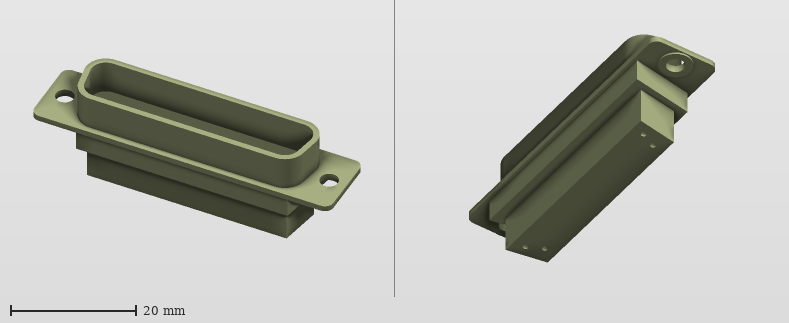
import cadquery as cq
import math

shell_height = 6.0
flange_thickness = 1.0
collar_height = 4.0
tail_height = 6.6

flange_length = 53.2
flange_width = 12.5
flange_corner_radius = 1.5
mount_hole_diameter = 3.15
mount_hole_x = 23.5
pad_diameter = 5.7
pad_thickness = 0.3

side_angle = 10.0
shell_width = 42.55
shell_depth = 10.45
shell_corner_radius = 3.55
shell_wall = 1.0
collar_width = 41.55
collar_depth = 11.1
tail_width = 38.05
tail_depth = 7.3

contact_diameter = 1.0
contact_row_y = 1.4
wide_row_x = 16.6
narrow_row_x = 15.2

flange_bottom = -flange_thickness
collar_bottom = flange_bottom - collar_height
tail_bottom = collar_bottom - tail_height


def tapered_block(width, depth, bottom, height):
    """Prism whose outline narrows from width at +Y by the side angle."""
    wide = width / 2
    narrow = wide - depth * math.tan(math.radians(side_angle))
    outline = [
        (-wide, depth / 2),
        (wide, depth / 2),
        (narrow, -depth / 2),
        (-narrow, -depth / 2),
    ]
    return cq.Workplane("XY").workplane(offset=bottom).polyline(outline).close().extrude(height)


def make_shell():
    """Open D-shaped shell with an even wall and rounded corners."""
    outer = tapered_block(shell_width, shell_depth, 0, shell_height)
    outer = outer.edges("|Z").fillet(shell_corner_radius)
    cavity = outer.faces(">Z").wires().toPending().offset2D(-shell_wall).extrude(-shell_height, combine=False)
    return outer.cut(cavity)


def cylinders(points, diameter, bottom, height):
    base = cq.Workplane("XY").workplane(offset=bottom)
    return base.pushPoints(points).circle(diameter / 2).extrude(height)


mount_points = [(-mount_hole_x, 0), (mount_hole_x, 0)]
contact_points = []
for side in (-1, 1):
    contact_points.append((side * wide_row_x, contact_row_y))
    contact_points.append((side * narrow_row_x, -contact_row_y))

flange = cq.Workplane("XY").workplane(offset=flange_bottom).rect(flange_length, flange_width)
flange = flange.extrude(flange_thickness).edges("|Z").fillet(flange_corner_radius)

pads = cylinders(mount_points, pad_diameter, flange_bottom - pad_thickness, pad_thickness)
collar = tapered_block(collar_width, collar_depth, collar_bottom, collar_height)
tail = tapered_block(tail_width, tail_depth, tail_bottom, tail_height)

body = flange.union(pads).union(collar).union(tail).union(make_shell())

mount_holes = cylinders(mount_points, mount_hole_diameter, flange_bottom - pad_thickness,
                        flange_thickness + pad_thickness)
contact_holes = cylinders(contact_points, contact_diameter, tail_bottom, -tail_bottom)

result = body.cut(mount_holes).cut(contact_holes)